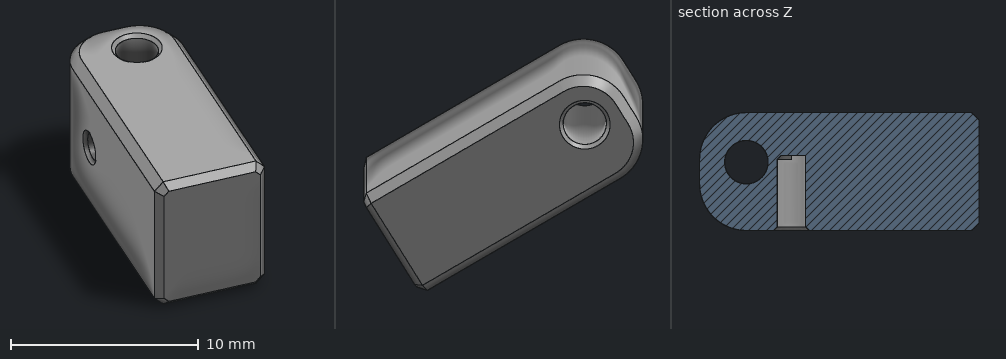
import cadquery as cq

length = 14.9
width = 6.3
height = 8.0
nose_radius = 2.5
long_edge_chamfer = 0.5
end_face_chamfer = 0.4

pivot_diameter = 2.3
pivot_x = nose_radius
pivot_y = 0.5
hole_chamfer = 0.2

side_hole_diameter = 1.5
side_hole_x = 4.9
side_hole_depth = 4.0

floor_bevel = 0.2


def make_block():
    """Block with a rounded -X nose and chamfered outer edges."""
    block = cq.Workplane("XY").box(length, width, height, centered=(False, True, True))
    block = block.edges("|Z and <X").fillet(nose_radius)
    block = block.faces("<Z or >Z").edges("not >X").chamfer(long_edge_chamfer)
    return block.faces(">X").edges().chamfer(end_face_chamfer)


def chamfered_hole_profile(radius, depth, flared_far_end):
    """Half section of a chamfered hole: local x is the radius, local y the depth."""
    mouth_radius = radius + hole_chamfer
    profile = cq.Workplane("XY").lineTo(mouth_radius, 0).lineTo(radius, hole_chamfer)
    if flared_far_end:
        profile = profile.lineTo(radius, depth - hole_chamfer).lineTo(mouth_radius, depth)
    else:
        profile = profile.lineTo(radius, depth)
    return profile.lineTo(0, depth).close()


def make_pivot_hole():
    """Through hole along Z, chamfered at both mouths."""
    profile = chamfered_hole_profile(pivot_diameter / 2, height, True)
    hole = profile.revolve(360, (0, 0, 0), (0, 1, 0)).rotate((0, 0, 0), (1, 0, 0), 90)
    return hole.translate((pivot_x, pivot_y, -height / 2))


def make_side_hole():
    """Blind hole along Y, chamfered at its mouth, with a half-round bevel at its floor."""
    radius = side_hole_diameter / 2
    profile = chamfered_hole_profile(radius, side_hole_depth, False)
    hole = profile.revolve(360, (0, 0, 0), (0, 1, 0))
    bevel = (
        cq.Workplane("XY")
        .moveTo(-radius, side_hole_depth)
        .lineTo(-radius, side_hole_depth - floor_bevel)
        .lineTo(floor_bevel - radius, side_hole_depth)
        .close()
        .revolve(360, (0, 0, 0), (0, 1, 0))
    )
    nose_side = cq.Workplane("XY").box(
        radius, side_hole_depth, side_hole_diameter, centered=(False, False, True)
    ).translate((-radius, 0, 0))
    hole = hole.cut(bevel.intersect(nose_side))
    return hole.translate((side_hole_x, -width / 2, 0))


result = make_block().cut(make_pivot_hole()).cut(make_side_hole())